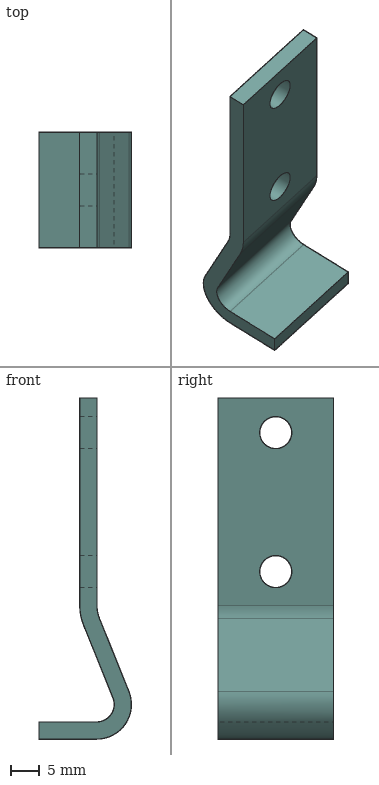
import cadquery as cq
import math

height = 59.0
width = 20.0
depth = 16.0

thickness = 3.0
foot_inner_radius = 3.0
foot_outer_radius = foot_inner_radius + thickness
neck_inner_radius = 6.0
neck_outer_radius = neck_inner_radius + thickness
leg_left = 7.0
leg_right = leg_left + thickness
neck_z = 23.1

hole_diameter = 5.5
hole_top_margin = 6.0
hole_spacing = 24.0

foot_x = depth - foot_outer_radius
foot_z = foot_outer_radius
neck_x = leg_left + neck_outer_radius

centre_distance = math.hypot(neck_x - foot_x, neck_z - foot_z)
centre_angle = math.atan2(neck_z - foot_z, neck_x - foot_x)
slant = centre_angle - math.acos((neck_outer_radius + foot_inner_radius) / centre_distance)


def foot_point(radius, angle):
    return (foot_x + radius * math.cos(angle), foot_z + radius * math.sin(angle))


def neck_point(radius, angle):
    return (neck_x - radius * math.cos(angle), neck_z - radius * math.sin(angle))


def bent_strip():
    foot_middle = (slant - math.pi / 2) / 2
    neck_middle = slant / 2
    return (
        cq.Workplane("XZ")
        .moveTo(0, 0)
        .lineTo(foot_x, 0)
        .threePointArc(foot_point(foot_outer_radius, foot_middle), foot_point(foot_outer_radius, slant))
        .lineTo(*neck_point(neck_inner_radius, slant))
        .threePointArc(neck_point(neck_inner_radius, neck_middle), (leg_right, neck_z))
        .lineTo(leg_right, height)
        .lineTo(leg_left, height)
        .lineTo(leg_left, neck_z)
        .threePointArc(neck_point(neck_outer_radius, neck_middle), neck_point(neck_outer_radius, slant))
        .lineTo(*foot_point(foot_inner_radius, slant))
        .threePointArc(foot_point(foot_inner_radius, foot_middle), (foot_x, thickness))
        .lineTo(0, thickness)
        .close()
        .extrude(width / 2, both=True)
    )


def mounting_holes():
    upper_z = height - hole_top_margin
    return (
        cq.Workplane("YZ", origin=(leg_left, 0, 0))
        .pushPoints([(0, upper_z), (0, upper_z - hole_spacing)])
        .circle(hole_diameter / 2)
        .extrude(thickness)
    )


result = bent_strip().cut(mounting_holes())